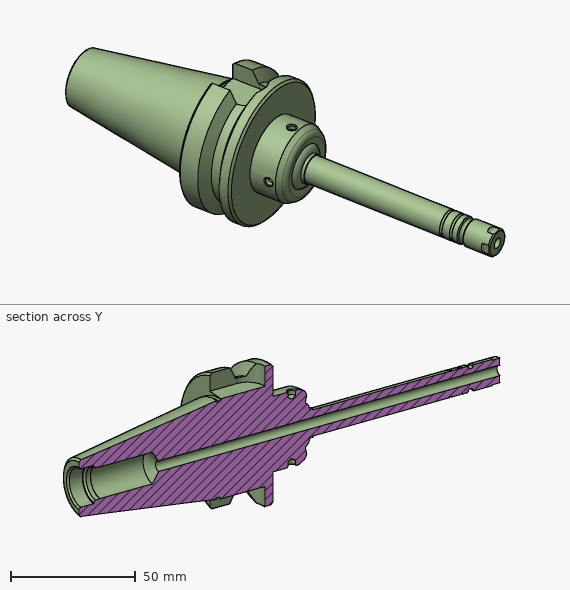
import cadquery as cq
import math


gauge_diameter = 44.45
taper_length = 65.4
taper_ratio = 7 / 24
taper_end_chamfer_length = 0.8
taper_end_chamfer_height = 1.1

flange_diameter = 63.0
flange_back_x = 2.0
flange_front_x = 27.0
flange_chamfer = 1.0
neck_diameter = 43.0
neck_flare = 0.7
groove_center_x = 16.6
groove_floor_diameter = 52.4
groove_floor_width = 4.2
groove_half_angle = 30.0

drive_slot_count = 2
slot_width = 16.1
slot_floor_height = 22.5
slot_end_x = 23.0

hub_diameter = 34.0
hub_cone_start_x = 39.2
hub_cone_angle = 30.0
hub_face_x = 43.1
hub_nose_radius = 3.0
hub_dish_depth = 0.6

shoulder_front_x = 44.5
shoulder_radius = 3.8
collar_diameter = 13.0
collar_front_x = 46.0

shaft_diameter = 12.0
nose_x = 135.0
nose_chamfer = 0.6
ring_groove_starts = (111.0, 115.8)
ring_groove_width = 1.2
ring_groove_depth = 0.2

relief_back_x = 120.0
relief_front_x = 122.0
relief_diameter = 9.0
relief_chamfer = 0.5

nose_flat_count = 4
flat_height = 5.6
flat_back_x = 132.0
flat_run_out_radius = 1.0

screw_x = 35.9
screw_hole_count = 4
screw_mouth_diameter = 4.5
screw_hole_diameter = 3.46
screw_hole_depth = 2.5
drill_point_angle = 118.0

bore_mouth_diameter = 18.6
bore_diameter = 17.0
bore_depth = 7.0
thread_mouth_diameter = 16.0
thread_diameter = 14.25
thread_step_depth = 10.0
thread_core_diameter = 14.0
thread_core_depth = 35.0
through_diameter = 4.5


def point_length(diameter):
    """Axial length of a drill point of the given diameter."""
    return diameter / 2 / math.tan(math.radians(drill_point_angle / 2))


def revolve_about_x(profile):
    return profile.close().revolve(360, (0, 0, 0), (1, 0, 0))


def make_body():
    back_x = -taper_length
    gauge_radius = gauge_diameter / 2
    chamfer_front_x = back_x + taper_end_chamfer_length
    chamfer_front_radius = gauge_radius + chamfer_front_x * taper_ratio / 2
    flange_radius = flange_diameter / 2
    hub_radius = hub_diameter / 2

    hub_angle = math.radians(hub_cone_angle)
    hub_cone_end_x = hub_face_x - hub_nose_radius * (1 - math.sin(hub_angle))
    hub_cone_end_radius = hub_radius - (hub_cone_end_x - hub_cone_start_x) * math.tan(hub_angle)
    hub_face_radius = hub_cone_end_radius - hub_nose_radius * math.cos(hub_angle)

    collar_radius = collar_diameter / 2
    arc_center_x = shoulder_front_x - shoulder_radius
    arc_root_x = hub_face_x - hub_dish_depth
    arc_root_angle = math.acos((arc_root_x - arc_center_x) / shoulder_radius)
    arc_middle_x = arc_center_x + shoulder_radius * math.cos(arc_root_angle / 2)
    arc_middle_radius = collar_radius + shoulder_radius * math.sin(arc_root_angle / 2)
    arc_root_radius = collar_radius + shoulder_radius * math.sin(arc_root_angle)

    profile = (
        cq.Workplane("XY")
        .moveTo(back_x, 0)
        .lineTo(back_x, chamfer_front_radius - taper_end_chamfer_height)
        .lineTo(chamfer_front_x, chamfer_front_radius)
        .lineTo(0, gauge_radius)
        .lineTo(0, neck_diameter / 2)
        .lineTo(flange_back_x - neck_flare, neck_diameter / 2)
        .lineTo(flange_back_x, neck_diameter / 2 + neck_flare)
        .lineTo(flange_back_x, flange_radius - flange_chamfer)
        .lineTo(flange_back_x + flange_chamfer, flange_radius)
        .lineTo(flange_front_x - flange_chamfer, flange_radius)
        .lineTo(flange_front_x, flange_radius - flange_chamfer)
        .lineTo(flange_front_x, hub_radius)
        .lineTo(hub_cone_start_x, hub_radius)
        .lineTo(hub_cone_end_x, hub_cone_end_radius)
        .tangentArcPoint((hub_face_x, hub_face_radius), relative=False)
        .lineTo(arc_root_x, arc_root_radius)
        .threePointArc((arc_middle_x, arc_middle_radius), (shoulder_front_x, collar_radius))
        .lineTo(collar_front_x, collar_radius)
        .lineTo(collar_front_x, shaft_diameter / 2)
        .lineTo(nose_x - nose_chamfer, shaft_diameter / 2)
        .lineTo(nose_x, shaft_diameter / 2 - nose_chamfer)
        .lineTo(nose_x, 0)
    )
    return revolve_about_x(profile)


def make_gripper_groove():
    top_radius = flange_diameter / 2
    floor_radius = groove_floor_diameter / 2
    floor_half = groove_floor_width / 2
    wall_run = (top_radius - floor_radius) * math.tan(math.radians(groove_half_angle))
    profile = (
        cq.Workplane("XY")
        .moveTo(groove_center_x - floor_half, floor_radius)
        .lineTo(groove_center_x + floor_half, floor_radius)
        .lineTo(groove_center_x + floor_half + wall_run, top_radius)
        .lineTo(groove_center_x - floor_half - wall_run, top_radius)
    )
    return revolve_about_x(profile)


def make_drive_slot():
    """Slot at +Z, open to the back of the flange, with a round front end."""
    radius = slot_width / 2
    return (
        cq.Workplane("XY", origin=(0, 0, slot_floor_height))
        .moveTo(0, -radius)
        .lineTo(slot_end_x - radius, -radius)
        .threePointArc((slot_end_x, 0), (slot_end_x - radius, radius))
        .lineTo(0, radius)
        .close()
        .extrude(flange_diameter / 2)
    )


def make_ring_groove(start_x):
    outer = shaft_diameter / 2
    inner = outer - ring_groove_depth
    ring = cq.Workplane("YZ", origin=(start_x, 0, 0)).circle(outer).circle(inner)
    return ring.extrude(ring_groove_width)


def make_relief_groove():
    outer = shaft_diameter / 2
    inner = relief_diameter / 2
    middle_x = (relief_back_x + relief_front_x) / 2
    profile = (
        cq.Workplane("XY")
        .moveTo(relief_back_x, outer - relief_chamfer)
        .lineTo(relief_back_x - relief_chamfer, outer)
        .lineTo(relief_front_x + relief_chamfer, outer)
        .lineTo(relief_front_x, outer - relief_chamfer)
        .threePointArc((middle_x, inner), (relief_back_x, outer - relief_chamfer))
    )
    return revolve_about_x(profile)


def make_nose_flat():
    """Cutter that leaves a flat at +Z, with a rounded run-out toward the back."""
    rise = shaft_diameter / 2 - flat_height
    run_out = math.sqrt(2 * flat_run_out_radius * rise - rise**2)
    return (
        cq.Workplane("XZ")
        .moveTo(nose_x, flat_height + rise)
        .lineTo(nose_x, flat_height)
        .lineTo(flat_back_x, flat_height)
        .tangentArcPoint((flat_back_x - run_out, flat_height + rise), relative=False)
        .close()
        .extrude(shaft_diameter / 2, both=True)
    )


def make_screw_hole():
    """Blind hole at +Z in the hub, with a chamfered mouth and a drill point."""
    radius = screw_hole_diameter / 2
    mouth_radius = screw_mouth_diameter / 2
    mouth_chamfer = mouth_radius - radius
    floor_z = hub_diameter / 2 - screw_hole_depth
    return (
        cq.Workplane("XZ", origin=(screw_x, 0, 0))
        .moveTo(0, hub_diameter / 2)
        .lineTo(mouth_radius, hub_diameter / 2)
        .lineTo(radius, hub_diameter / 2 - mouth_chamfer)
        .lineTo(radius, floor_z)
        .lineTo(0, floor_z - point_length(screw_hole_diameter))
        .close()
        .revolve(360, (0, 0, 0), (0, 1, 0))
    )


def make_bore():
    back_x = -taper_length
    mouth_chamfer = (bore_mouth_diameter - bore_diameter) / 2
    thread_chamfer = (thread_mouth_diameter - thread_diameter) / 2
    thread_step_x = back_x + thread_step_depth
    core_end_x = back_x + thread_core_depth
    through_radius = through_diameter / 2
    point_end_x = core_end_x + point_length(thread_core_diameter - through_diameter)
    profile = (
        cq.Workplane("XY")
        .moveTo(back_x, 0)
        .lineTo(back_x, bore_mouth_diameter / 2)
        .lineTo(back_x + mouth_chamfer, bore_diameter / 2)
        .lineTo(back_x + bore_depth, bore_diameter / 2)
        .lineTo(back_x + bore_depth, thread_mouth_diameter / 2)
        .lineTo(back_x + bore_depth + thread_chamfer, thread_diameter / 2)
        .lineTo(thread_step_x, thread_diameter / 2)
        .lineTo(thread_step_x, thread_core_diameter / 2)
        .lineTo(core_end_x, thread_core_diameter / 2)
        .lineTo(point_end_x, through_radius)
        .lineTo(nose_x, through_radius)
        .lineTo(nose_x, 0)
    )
    return revolve_about_x(profile)


def cut_around_axis(body, cutter, count):
    """Cut equally spaced copies of a cutter around the tool axis."""
    for index in range(count):
        body = body.cut(cutter.rotate((0, 0, 0), (1, 0, 0), index * 360 / count))
    return body


body = make_body().cut(make_gripper_groove())
body = cut_around_axis(body, make_drive_slot(), drive_slot_count)
for groove_start_x in ring_groove_starts:
    body = body.cut(make_ring_groove(groove_start_x))
body = body.cut(make_relief_groove())
body = cut_around_axis(body, make_nose_flat(), nose_flat_count)
body = cut_around_axis(body, make_screw_hole(), screw_hole_count)
result = body.cut(make_bore())